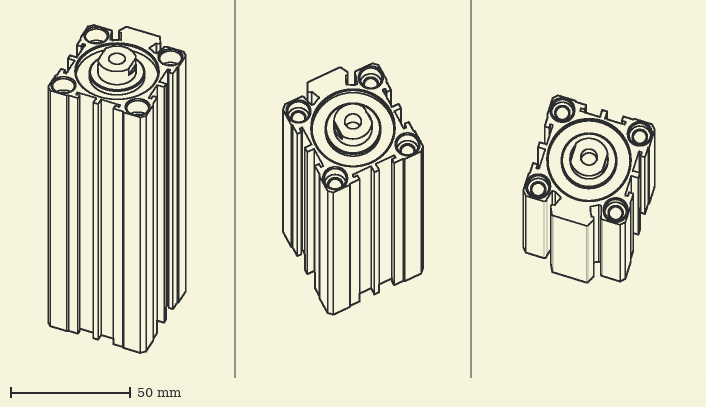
import cadquery as cq

TOTAL_HEIGHT = 140.0
ROD_PROTRUSION = 7.0
BODY_HEIGHT = TOTAL_HEIGHT - ROD_PROTRUSION
BODY_WIDTH = 45.0
HALF_WIDTH = BODY_WIDTH / 2
CORNER_CHAMFER = 1.8

FACE_STEP = 0.4
STEPPED_FACE = HALF_WIDTH - FACE_STEP
STEP_OUTER = 13.0
STEP_INNER = 12.5
SLOT_MOUTH_HALF = 8.1
SLOT_HALF = 9.8
SLOT_FLOOR = 18.9
LIP_THICKNESS = 2.0
LIP_INNER_FACE = STEPPED_FACE - LIP_THICKNESS
RIB_HALF = 1.1

RAIL_TOP = HALF_WIDTH + 4.6
RAIL_TOP_HALF = 7.7
RAIL_TOP_FILLET = 0.5
RAIL_SHOULDER_HALF = 10.1
RAIL_SHOULDER_FILLET = 1.0
RAIL_UNDERSIDE = 22.5
RAIL_UNDERSIDE_INNER = 8.0
RAIL_NECK_HALF = 6.5
RAIL_NECK_BOTTOM = 18.8
GROOVE_FLOOR = 17.1
GROOVE_FLOOR_INNER = 9.5
GROOVE_FLOOR_OUTER = 10.8
GROOVE_MOUTH = 11.9
GROOVE_WALL_TOP = 21.0
GROOVE_EDGE_FILLET = 1.0

BOLT_SPACING = 34.0
BOLT_HOLE_DIAMETER = 5.5
BOLT_HOLE_CHAMFER = 0.4
COUNTERBORE_DIAMETER = 9.2
COUNTERBORE_DEPTH = 7.0
COUNTERBORE_CHAMFER = 0.5

RECESS_RADIUS = 17.2
RECESS_DEPTH = 3.0
RECESS_CHAMFER = 0.4
COLLAR_RADIUS = 11.6
COLLAR_HEIGHT = 2.5
COLLAR_CHAMFER = 0.4
RECESS_FLOOR = BODY_HEIGHT - RECESS_DEPTH

ROD_RADIUS = 8.0
FLAT_SPACING = 14.0
FLAT_HEIGHT = 3.5
ROD_HOLE_DIAMETER = 6.9
ROD_HOLE_DEPTH = 9.1


def slot_outline():
    """Right half of a slotted face, as (offset along face, distance from axis), from rib to corner."""
    return [
        (RIB_HALF, STEPPED_FACE),
        (RIB_HALF, SLOT_FLOOR),
        (SLOT_HALF, SLOT_FLOOR),
        (SLOT_HALF, LIP_INNER_FACE),
        (SLOT_MOUTH_HALF, LIP_INNER_FACE),
        (SLOT_MOUTH_HALF, STEPPED_FACE),
        (STEP_INNER, STEPPED_FACE),
        (STEP_OUTER, HALF_WIDTH),
        (HALF_WIDTH - CORNER_CHAMFER, HALF_WIDTH),
    ]


def rear_outline():
    """Right half of the rear face, from the corner to the middle of the rail."""
    return [
        (HALF_WIDTH - CORNER_CHAMFER, HALF_WIDTH),
        (GROOVE_MOUTH, HALF_WIDTH),
        (GROOVE_MOUTH, GROOVE_WALL_TOP),
        (GROOVE_FLOOR_OUTER, GROOVE_FLOOR),
        (GROOVE_FLOOR_INNER, GROOVE_FLOOR),
        (RAIL_NECK_HALF, RAIL_NECK_BOTTOM),
        (RAIL_UNDERSIDE_INNER, RAIL_UNDERSIDE),
        (RAIL_SHOULDER_HALF, RAIL_UNDERSIDE),
        (RAIL_TOP_HALF, RAIL_TOP),
    ]


def body_outline():
    """Closed outline of the extrusion, symmetric about the YZ plane."""
    front = [(along, -out) for along, out in slot_outline()]
    side_lower = [(out, -along) for along, out in reversed(slot_outline())]
    side_upper = [(out, along) for along, out in slot_outline()]
    right_half = front + side_lower + side_upper + rear_outline()
    left_half = [(-x, y) for x, y in reversed(right_half)]
    return right_half + left_half


def round_rear_edges(body):
    """Round the long edges of the rail and of its groove mouths, on both sides."""
    rounded_edges = [
        (RAIL_TOP_HALF, RAIL_TOP, RAIL_TOP_FILLET),
        (RAIL_SHOULDER_HALF, RAIL_UNDERSIDE, RAIL_SHOULDER_FILLET),
        (GROOVE_MOUTH, HALF_WIDTH, GROOVE_EDGE_FILLET),
    ]
    for x, y, radius in rounded_edges:
        for side in (-1, 1):
            edge = cq.NearestToPointSelector((side * x, y, BODY_HEIGHT / 2))
            body = body.edges(edge).fillet(radius)
    return body


def make_bolt_hole_cutter():
    """Stepped, chamfered bolt hole about the Z axis, open at both ends."""
    hole_radius = BOLT_HOLE_DIAMETER / 2
    bore_radius = COUNTERBORE_DIAMETER / 2
    bore_floor = BODY_HEIGHT - COUNTERBORE_DEPTH
    return (
        cq.Workplane("XZ")
        .polyline([
            (0, 0),
            (hole_radius, 0),
            (hole_radius, bore_floor - BOLT_HOLE_CHAMFER),
            (hole_radius + BOLT_HOLE_CHAMFER, bore_floor),
            (bore_radius, bore_floor),
            (bore_radius, BODY_HEIGHT - COUNTERBORE_CHAMFER),
            (bore_radius + COUNTERBORE_CHAMFER, BODY_HEIGHT),
            (0, BODY_HEIGHT),
        ])
        .close()
        .revolve(360, (0, 0), (0, 1))
    )


def make_recess_cutter():
    """Ring-shaped recess around the collar, with the rod socket in the middle."""
    collar_top = RECESS_FLOOR + COLLAR_HEIGHT
    return (
        cq.Workplane("XZ")
        .polyline([
            (0, RECESS_FLOOR),
            (ROD_RADIUS, RECESS_FLOOR),
            (ROD_RADIUS, collar_top),
            (COLLAR_RADIUS - COLLAR_CHAMFER, collar_top),
            (COLLAR_RADIUS, collar_top - COLLAR_CHAMFER),
            (COLLAR_RADIUS, RECESS_FLOOR),
            (RECESS_RADIUS, RECESS_FLOOR),
            (RECESS_RADIUS, BODY_HEIGHT - RECESS_CHAMFER),
            (RECESS_RADIUS + RECESS_CHAMFER, BODY_HEIGHT),
            (0, BODY_HEIGHT),
        ])
        .close()
        .revolve(360, (0, 0), (0, 1))
    )


def make_cylinder_body():
    """Extruded cylinder body with its recess, collar and corner bolt holes."""
    body = cq.Workplane("XY").polyline(body_outline()).close().extrude(BODY_HEIGHT)
    body = round_rear_edges(body)
    body = body.cut(make_recess_cutter())
    bolt_hole = make_bolt_hole_cutter()
    for x_side in (-1, 1):
        for y_side in (-1, 1):
            offset = (x_side * BOLT_SPACING / 2, y_side * BOLT_SPACING / 2, 0)
            body = body.cut(bolt_hole.translate(offset))
    return body


def make_piston_rod():
    """Round rod with two wrench flats and a blind hole in its end."""
    rod = (
        cq.Workplane("XY")
        .workplane(offset=RECESS_FLOOR)
        .circle(ROD_RADIUS)
        .extrude(TOTAL_HEIGHT - RECESS_FLOOR)
    )
    flat_depth = ROD_RADIUS - FLAT_SPACING / 2
    for side in (-1, 1):
        flat_cutter = (
            cq.Workplane("XY")
            .workplane(offset=TOTAL_HEIGHT - FLAT_HEIGHT)
            .center(side * (ROD_RADIUS - flat_depth / 2), 0)
            .rect(flat_depth, 2 * ROD_RADIUS)
            .extrude(FLAT_HEIGHT)
        )
        rod = rod.cut(flat_cutter)
    return rod.faces(">Z").workplane(origin=(0, 0, 0)).hole(ROD_HOLE_DIAMETER, ROD_HOLE_DEPTH)


cylinder_body = make_cylinder_body()
piston_rod = make_piston_rod()
result = cq.Compound.makeCompound([cylinder_body.val(), piston_rod.val()])